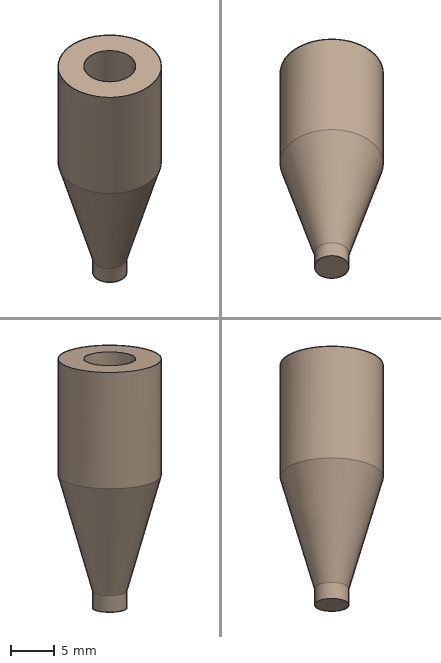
import cadquery as cq

total_height = 30.0
body_diameter = 12.0
tip_diameter = 4.0
bore_diameter = 6.0

body_height = 14.0
tip_height = 2.0
cone_height = total_height - body_height - tip_height

bore_depth = body_height

tip = cq.Workplane("XY").circle(tip_diameter / 2).extrude(tip_height)

cone = cq.Workplane("XY").add(
    cq.Solid.makeCone(
        tip_diameter / 2,
        body_diameter / 2,
        cone_height,
        pnt=cq.Vector(0, 0, tip_height),
    )
)

body = (
    cq.Workplane("XY", origin=(0, 0, tip_height + cone_height))
    .circle(body_diameter / 2)
    .extrude(body_height)
)

bore = (
    cq.Workplane("XY", origin=(0, 0, total_height))
    .circle(bore_diameter / 2)
    .extrude(-bore_depth)
)

result = tip.union(cone).union(body).cut(bore)